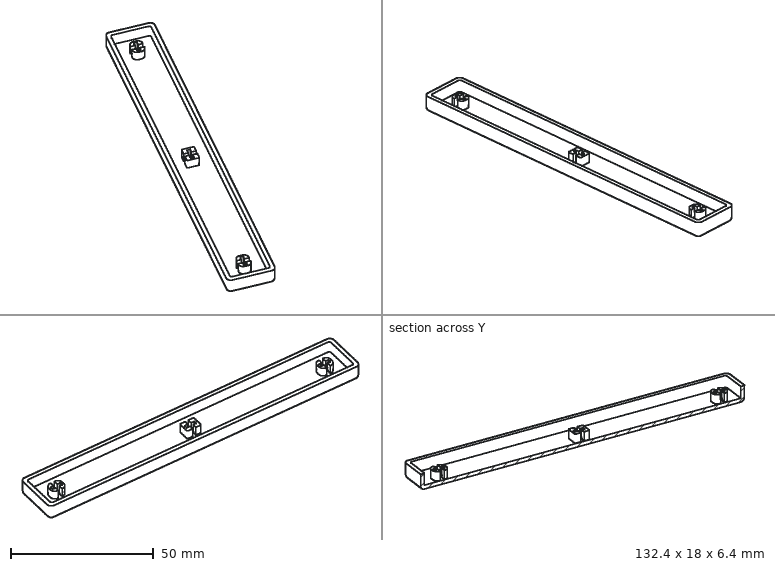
import cadquery as cq

length = 132.4
width = 18.0
height = 6.4
pocket_length = 129.0
pocket_width = 14.8
floor_thickness = 1.7
corner_radius = 1.7
bottom_radius = 1.7
pocket_corner_radius = 0.8

stem_spacing = 57.2
stem_depth = 4.6
stem_top = 5.3
side_stem_length = 5.7
side_stem_corner_radius = 1.9
center_stem_length = 6.0
center_stem_corner_radius = 0.4

arm_length = 4.1
arm_width = 1.2
side_split_width = 1.6
center_split_width = 1.3

stem_height = stem_top - floor_thickness


def make_shell():
    """Rounded tray, open at the top."""
    body = cq.Workplane("XY").box(length, width, height, centered=(True, True, False))
    body = body.edges("|Z").fillet(corner_radius)
    body = body.faces("<Z").edges().fillet(bottom_radius)
    pocket = (
        cq.Workplane("XY", origin=(0, 0, floor_thickness))
        .rect(pocket_length, pocket_width)
        .extrude(height - floor_thickness)
        .edges("|Z")
        .fillet(pocket_corner_radius)
    )
    return body.cut(pocket)


def upright_block(size_x, size_y):
    """Block as tall as a stem, centred on Z and resting on the floor."""
    return cq.Workplane("XY", origin=(0, 0, floor_thickness)).rect(size_x, size_y).extrude(stem_height)


def cut_socket(stem, split_width):
    """Split a stem into two halves and notch their facing sides."""
    arm = upright_block(arm_length, arm_width)
    split = upright_block(split_width, stem_depth)
    return stem.cut(arm).cut(split)


def make_stem(stem_length, edge_radius, split_width):
    """Rectangular stem with rounded upright edges and a cross-shaped socket."""
    stem = upright_block(stem_length, stem_depth).edges("|Z").fillet(edge_radius)
    return cut_socket(stem, split_width)


result = make_shell().union(make_stem(center_stem_length, center_stem_corner_radius, center_split_width))
side_stem = make_stem(side_stem_length, side_stem_corner_radius, side_split_width)
for x in (-stem_spacing, stem_spacing):
    result = result.union(side_stem.translate((x, 0, 0)))